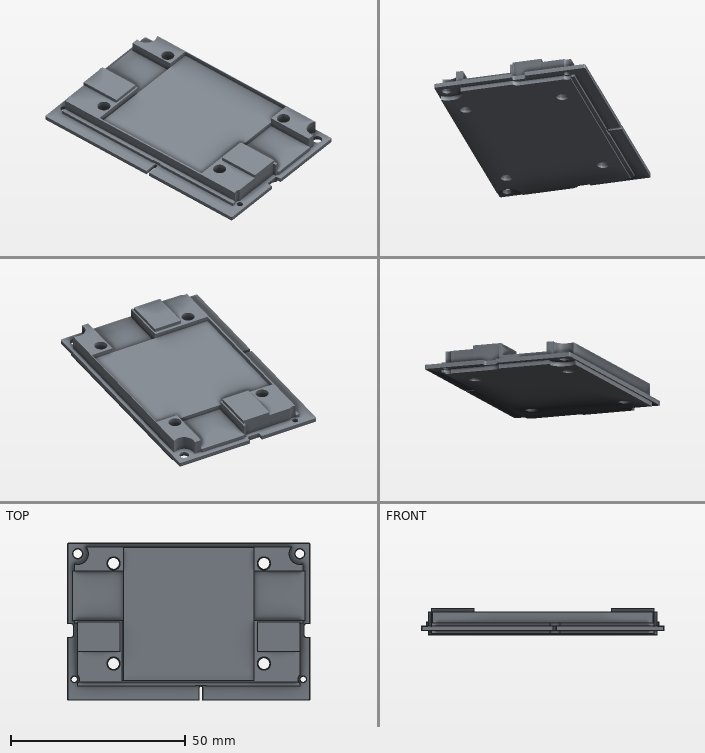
import cadquery as cq

BOARD_X = 69.6
BOARD_Y = 45.0
BOARD_CORNER = 0.4
BOARD_BOTTOM = 1.25
BOARD_TOP = 2.5

FRAME_WIDE_X = 32.85
FRAME_NARROW_X = 31.9
FRAME_FRONT_Y = -17.3
FRAME_STEP_Y = -0.35
UPPER_FRAME_BACK_Y = 21.45
LOWER_FRAME_BACK_Y = 22.0
UPPER_STEP_WIDTH = 0.5
UPPER_STEP_LENGTH = 0.5
LOWER_STEP_WIDTH = 0.9
LOWER_STEP_LENGTH = 1.95
UPPER_FRAME_TOP = 6.6

STRIP_FRONT_Y = -18.5
UPPER_STRIP_TOP = 3.5
LOWER_STRIP_BOTTOM = 0.5
STRIP_NOTCH_X = 2.9
STRIP_NOTCH_DEPTH = 0.2

PLATE_HALF_X = 18.8
PLATE_BACK_Y = 21.2
PLATE_FRONT_Y = -16.85
PLATE_TOP = 5.15
PLATE_GAP = 0.4

SIDE_PLATE_OUTER_X = 33.35
SIDE_PLATE_BACK_Y = 14.5
SIDE_PLATE_FRONT_Y = 0.35
SIDE_PLATE_TOP = 3.7

BLOCK_INNER_X = 19.7
BLOCK_OUTER_X = 31.95
BLOCK_BACK_Y = -0.1
BLOCK_FRONT_Y = -8.6
BLOCK_TOP = 7.65

CORNER_HOLE_X = 31.9
CORNER_HOLE_Y = 19.5
CORNER_HOLE_DIAMETER = 2.8
CORNER_RELIEF_RADIUS = 3.05
LOWER_RELIEF_RADIUS = 3.4
LOWER_RELIEF_STRETCH = 1.0

PIN_HOLE_X = 32.85
PIN_HOLE_Y = -16.55
PIN_HOLE_DIAMETER = 1.8
PIN_RELIEF_RADIUS = 1.45

SCREW_HOLE_X = 21.6
SCREW_HOLE_YS = (16.7, -12.05)
SCREW_HOLE_DIAMETER = 3.4
SCREW_CLEARANCE_DIAMETER = 3.75

SIDE_NOTCH_BACK_Y = -0.55
SIDE_NOTCH_FRONT_Y = -4.5
SIDE_NOTCH_DEPTH = 1.7
SIDE_NOTCH_FILLET = 0.6
KEY_SLOT_X = 3.5
KEY_SLOT_WIDTH = 1.05

SIDES = (-1, 1)


def box(x0, x1, y0, y1, z0, z1):
    """Box between two opposite corners, given in either order."""
    middle = ((x0 + x1) / 2, (y0 + y1) / 2, (z0 + z1) / 2)
    return cq.Workplane("XY").box(abs(x1 - x0), abs(y1 - y0), abs(z1 - z0)).translate(middle)


def cylinders(x, ys, diameter, z0, z1):
    """Upright cylinders at +x and -x for each y."""
    points = [(side * x, y) for side in SIDES for y in ys]
    return cq.Workplane("XY").workplane(offset=z0).pushPoints(points).circle(diameter / 2).extrude(z1 - z0)


def frame_body(back_y, step_width, step_length, z0, z1):
    """Frame that narrows towards the front through a hollow arc on each side."""
    half = (
        cq.Workplane("XY").workplane(offset=z0)
        .moveTo(0, FRAME_FRONT_Y)
        .lineTo(FRAME_NARROW_X, FRAME_FRONT_Y)
        .lineTo(FRAME_NARROW_X, FRAME_STEP_Y - step_length)
        .tangentArcPoint((FRAME_NARROW_X + step_width, FRAME_STEP_Y), relative=False)
        .lineTo(FRAME_WIDE_X, FRAME_STEP_Y)
        .lineTo(FRAME_WIDE_X, back_y)
        .lineTo(0, back_y)
        .close()
        .extrude(z1 - z0)
    )
    body = half.union(half.mirror("YZ"))
    return body.cut(cylinders(PIN_HOLE_X, [PIN_HOLE_Y], 2 * PIN_RELIEF_RADIUS, z0, z1))


def front_strip(z0, z1):
    """Low strip in front of a frame, notched behind the key slot."""
    strip = box(-FRAME_NARROW_X, FRAME_NARROW_X, STRIP_FRONT_Y, FRAME_FRONT_Y, z0, z1)
    notch = box(
        KEY_SLOT_X - STRIP_NOTCH_X / 2, KEY_SLOT_X + STRIP_NOTCH_X / 2,
        STRIP_FRONT_Y, STRIP_FRONT_Y + STRIP_NOTCH_DEPTH, z0, z1,
    )
    pin_relief = cylinders(PIN_HOLE_X, [PIN_HOLE_Y], 2 * PIN_RELIEF_RADIUS, z0, z1)
    return strip.cut(notch).cut(pin_relief)


def make_board():
    board = box(-BOARD_X / 2, BOARD_X / 2, -BOARD_Y / 2, BOARD_Y / 2, BOARD_BOTTOM, BOARD_TOP)
    board = board.edges("|Z").fillet(BOARD_CORNER)
    for side in SIDES:
        notch = box(
            side * (BOARD_X / 2 - SIDE_NOTCH_DEPTH), side * (BOARD_X / 2 + SIDE_NOTCH_DEPTH),
            SIDE_NOTCH_FRONT_Y, SIDE_NOTCH_BACK_Y, BOARD_BOTTOM, BOARD_TOP,
        )
        board = board.cut(notch.edges("|Z").fillet(SIDE_NOTCH_FILLET))

    slot_radius = KEY_SLOT_WIDTH / 2
    slot_centre_y = STRIP_FRONT_Y - slot_radius
    slot = box(
        KEY_SLOT_X - slot_radius, KEY_SLOT_X + slot_radius,
        -BOARD_Y / 2, slot_centre_y, BOARD_BOTTOM, BOARD_TOP,
    )
    slot_end = (
        cq.Workplane("XY").workplane(offset=BOARD_BOTTOM)
        .center(KEY_SLOT_X, slot_centre_y).circle(slot_radius).extrude(BOARD_TOP - BOARD_BOTTOM)
    )
    board = board.cut(slot).cut(slot_end)
    board = board.cut(cylinders(CORNER_HOLE_X, [CORNER_HOLE_Y], CORNER_HOLE_DIAMETER, BOARD_BOTTOM, BOARD_TOP))
    return board.cut(cylinders(PIN_HOLE_X, [PIN_HOLE_Y], PIN_HOLE_DIAMETER, BOARD_BOTTOM, BOARD_TOP))


def make_lower_frame():
    frame = frame_body(LOWER_FRAME_BACK_Y, LOWER_STEP_WIDTH, LOWER_STEP_LENGTH, 0, BOARD_BOTTOM)
    relief_centres = [(side * CORNER_HOLE_X, CORNER_HOLE_Y - LOWER_RELIEF_STRETCH / 2) for side in SIDES]
    reliefs = (
        cq.Workplane("XY").pushPoints(relief_centres)
        .slot2D(LOWER_RELIEF_STRETCH + 2 * LOWER_RELIEF_RADIUS, 2 * LOWER_RELIEF_RADIUS, 90)
        .extrude(BOARD_BOTTOM)
    )
    frame = frame.cut(reliefs)
    return frame.union(front_strip(LOWER_STRIP_BOTTOM, BOARD_BOTTOM))


def make_upper_frame():
    frame = frame_body(
        UPPER_FRAME_BACK_Y, UPPER_STEP_WIDTH, UPPER_STEP_LENGTH, BOARD_TOP, UPPER_FRAME_TOP,
    )
    pocket = box(-PLATE_HALF_X, PLATE_HALF_X, PLATE_FRONT_Y, PLATE_BACK_Y, BOARD_TOP, UPPER_FRAME_TOP)
    gap = box(
        -PLATE_HALF_X - PLATE_GAP, -PLATE_HALF_X,
        PLATE_FRONT_Y, SIDE_PLATE_FRONT_Y, BOARD_TOP, UPPER_FRAME_TOP,
    )
    bays = box(
        -BOARD_X / 2, BOARD_X / 2, SIDE_PLATE_FRONT_Y, SIDE_PLATE_BACK_Y, BOARD_TOP, UPPER_FRAME_TOP,
    )
    reliefs = cylinders(CORNER_HOLE_X, [CORNER_HOLE_Y], 2 * CORNER_RELIEF_RADIUS, BOARD_TOP, UPPER_FRAME_TOP)
    frame = frame.cut(pocket).cut(gap).cut(bays).cut(reliefs)
    for side in SIDES:
        frame = frame.union(box(
            side * BLOCK_INNER_X, side * BLOCK_OUTER_X, BLOCK_FRONT_Y, BLOCK_BACK_Y, BOARD_TOP, BLOCK_TOP,
        ))
    return frame.union(front_strip(BOARD_TOP, UPPER_STRIP_TOP))


def make_plates():
    plates = box(-PLATE_HALF_X, PLATE_HALF_X, PLATE_FRONT_Y, PLATE_BACK_Y, BOARD_TOP, PLATE_TOP)
    for side in SIDES:
        plates = plates.union(box(
            side * PLATE_HALF_X, side * SIDE_PLATE_OUTER_X,
            SIDE_PLATE_FRONT_Y, SIDE_PLATE_BACK_Y, BOARD_TOP, SIDE_PLATE_TOP,
        ))
    return plates


result = make_board().union(make_lower_frame()).union(make_upper_frame()).union(make_plates())

result = result.cut(cylinders(SCREW_HOLE_X, SCREW_HOLE_YS, SCREW_HOLE_DIAMETER, 0, UPPER_FRAME_TOP))
result = result.cut(
    cylinders(SCREW_HOLE_X, SCREW_HOLE_YS, SCREW_CLEARANCE_DIAMETER, BOARD_TOP, UPPER_FRAME_TOP)
)